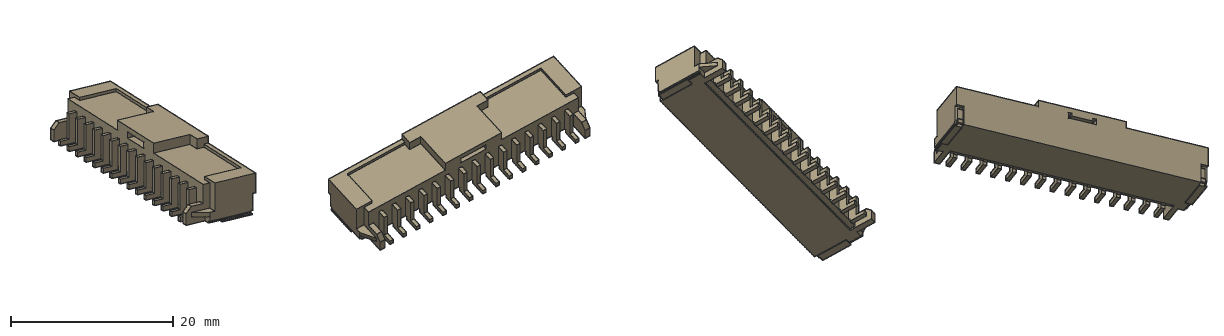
import cadquery as cq


LENGTH = 34.0
DEPTH = 9.4
HEIGHT = 6.4
HALF_LENGTH = LENGTH / 2

BASE_Z = 0.15
SHOULDER_Z = 5.47
DECK_Z = 5.05
WALL_DEPTH = 6.9
END_DEPTH = 5.95
END_STEP = 1.15
END_BLOCK_WIDTH = 2.38
REAR_RIM = 0.65

CORNER_DEPTH = 6.65
CORNER_Z = 1.7
RELIEF_WIDTH = 0.3
RELIEF_Z = 0.45
RELIEF_CHAMFER = 0.1

UNDERCUT_DEPTH = 6.12

BUMP_HALF_WIDTH = 4.25
BUMP_REAR_HALF_WIDTH = 5.9
BUMP_REAR_DEPTH = 1.65
WINDOW_HALF_WIDTH = 1.9
WINDOW_Z = 4.85
WINDOW_TOP_Z = 5.68
LATCH_HALF_WIDTH = 1.43
LATCH_Z = 5.27
LATCH_LENGTH = 1.02
LATCH_ROOT_LENGTH = 0.6

TAB_THICKNESS = 0.75
TAB_TOP_Z = 2.5
TAB_CHAMFER_Y = 0.75
TAB_CHAMFER_Z = 0.8
GUSSET_START_DEPTH = 6.65
GUSSET_END_DEPTH = 8.65
GUSSET_Z = 1.1
TAB_INNER_X = HALF_LENGTH - END_STEP - TAB_THICKNESS

PIN_COUNT = 15
PIN_SPAN = 28.0
PIN_WIDTH = 0.5
PIN_TOP_Z = 4.05
PIN_BLADE_DEPTH = 8.02
PIN_FOOT_HEIGHT = 0.65
PIN_FOOT_START = 7.07
PIN_FOOT_END = 9.25

NAIL_WIDTH = 1.0
NAIL_FOOT_HEIGHT = 0.17
NAIL_FOOT_START = 0.5
NAIL_FOOT_END = 4.85
NAIL_TOP_Z = 2.5
NAIL_OUTER_DEPTH = 0.3
NAIL_BEND_DEPTH = 0.2
NAIL_BEND_Z = 0.4
NAIL_BEND_TOP_Z = 1.0
NOTCH_DEPTH = 0.4
NOTCH_Z = 2.82
NOTCH_CHAMFER_DEPTH = 0.78
NOTCH_CHAMFER_Z = 0.8


def box(x_min, x_max, depth_min, depth_max, z_min, z_max):
    """Axis-aligned block, with its Y extent given as two depths."""
    size = (x_max - x_min, depth_max - depth_min, z_max - z_min)
    return cq.Workplane("XY").box(*size, centered=False).translate((x_min, -depth_max, z_min))


def centered_box(half_width, depth_min, depth_max, z_min, z_max):
    return box(-half_width, half_width, depth_min, depth_max, z_min, z_max)


def side_profile(points, x_min, x_max):
    """Extrude a (depth, z) outline along X."""
    outline = [(-depth, z) for depth, z in points]
    return cq.Workplane("YZ").workplane(offset=x_min).polyline(outline).close().extrude(x_max - x_min)


def both_ends(shape):
    """A feature of the +X end together with its mirror image at the -X end."""
    return shape.union(shape.mirror("YZ"))


def make_housing():
    ends = centered_box(HALF_LENGTH, 0, END_DEPTH, BASE_Z, SHOULDER_Z)
    recess = centered_box(HALF_LENGTH - END_BLOCK_WIDTH, REAR_RIM, END_DEPTH, DECK_Z, SHOULDER_Z)
    wall = centered_box(HALF_LENGTH - END_STEP, REAR_RIM, WALL_DEPTH, BASE_Z, DECK_Z)
    corners = centered_box(HALF_LENGTH, REAR_RIM, CORNER_DEPTH, BASE_Z, CORNER_Z)
    undercut = centered_box(TAB_INNER_X, UNDERCUT_DEPTH, WALL_DEPTH, BASE_Z, RELIEF_Z)
    return ends.cut(recess).union(wall).union(corners).cut(undercut)


def make_bump():
    middle = centered_box(BUMP_HALF_WIDTH, 0, WALL_DEPTH, WINDOW_Z, HEIGHT)
    rear = centered_box(BUMP_REAR_HALF_WIDTH, 0, BUMP_REAR_DEPTH, DECK_Z, HEIGHT)
    return middle.union(rear)


def make_window():
    """Latch window running through the raised middle, less the latch ramp on its ceiling."""
    window = centered_box(WINDOW_HALF_WIDTH, 0, WALL_DEPTH, WINDOW_Z, WINDOW_TOP_Z)
    ramp = [
        (0, WINDOW_TOP_Z),
        (LATCH_ROOT_LENGTH, WINDOW_TOP_Z),
        (LATCH_LENGTH, LATCH_Z),
        (0, LATCH_Z),
    ]
    return window.cut(side_profile(ramp, -LATCH_HALF_WIDTH, LATCH_HALF_WIDTH))


def make_relief():
    """Chamfered groove along the lower outer edge of one end."""
    inner_x = HALF_LENGTH - RELIEF_WIDTH
    outline = [
        (HALF_LENGTH, 0),
        (inner_x, 0),
        (inner_x, RELIEF_Z - RELIEF_CHAMFER),
        (inner_x + RELIEF_CHAMFER, RELIEF_Z),
        (HALF_LENGTH, RELIEF_Z),
    ]
    return cq.Workplane("XZ").polyline(outline).close().extrude(CORNER_DEPTH)


def make_nail_notch():
    outline = [
        (0, 0),
        (NOTCH_CHAMFER_DEPTH, 0),
        (NOTCH_CHAMFER_DEPTH, RELIEF_Z),
        (NOTCH_DEPTH, NOTCH_CHAMFER_Z),
        (NOTCH_DEPTH, NOTCH_Z),
        (0, NOTCH_Z),
    ]
    return side_profile(outline, HALF_LENGTH - NAIL_WIDTH, HALF_LENGTH)


def make_nail():
    """Strip with a thin upright in the notch, a thicker bend below it and a foot on the board."""
    upright_outline = [
        (NAIL_FOOT_START, 0),
        (NOTCH_CHAMFER_DEPTH, 0),
        (NOTCH_CHAMFER_DEPTH, RELIEF_Z),
        (NOTCH_DEPTH, NOTCH_CHAMFER_Z),
        (NOTCH_DEPTH, NAIL_TOP_Z),
        (NAIL_OUTER_DEPTH, NAIL_TOP_Z),
        (NAIL_OUTER_DEPTH, NAIL_BEND_TOP_Z),
        (NAIL_BEND_DEPTH, NAIL_BEND_TOP_Z),
        (NAIL_BEND_DEPTH, NAIL_BEND_Z),
        (NAIL_FOOT_START, NAIL_BEND_Z),
    ]
    inner_x = HALF_LENGTH - NAIL_WIDTH
    upright = side_profile(upright_outline, inner_x, HALF_LENGTH - RELIEF_WIDTH)
    foot = box(inner_x, HALF_LENGTH, NAIL_FOOT_START, NAIL_FOOT_END, 0, NAIL_FOOT_HEIGHT)
    return upright.union(foot)


def make_tab():
    outline = [
        (END_DEPTH, BASE_Z),
        (DEPTH, BASE_Z),
        (DEPTH, TAB_TOP_Z - TAB_CHAMFER_Z),
        (DEPTH - TAB_CHAMFER_Y, TAB_TOP_Z),
        (END_DEPTH, TAB_TOP_Z),
    ]
    return side_profile(outline, TAB_INNER_X, TAB_INNER_X + TAB_THICKNESS)


def make_gusset():
    """Horizontal brace from the corner block to the outer face of the tab."""
    outline = [
        (TAB_INNER_X, -END_DEPTH),
        (HALF_LENGTH, -END_DEPTH),
        (HALF_LENGTH, -GUSSET_START_DEPTH),
        (HALF_LENGTH - END_STEP, -GUSSET_END_DEPTH),
        (TAB_INNER_X, -GUSSET_END_DEPTH),
    ]
    underside = cq.Workplane("XY").workplane(offset=GUSSET_Z)
    return underside.polyline(outline).close().extrude(CORNER_Z - GUSSET_Z)


def make_pin(center_x):
    outline = [
        (END_DEPTH, RELIEF_Z),
        (PIN_FOOT_START, RELIEF_Z),
        (PIN_FOOT_START, 0),
        (PIN_FOOT_END, 0),
        (PIN_FOOT_END, PIN_FOOT_HEIGHT),
        (PIN_BLADE_DEPTH, PIN_FOOT_HEIGHT),
        (PIN_BLADE_DEPTH, PIN_TOP_Z),
        (END_DEPTH, PIN_TOP_Z),
    ]
    return side_profile(outline, center_x - PIN_WIDTH / 2, center_x + PIN_WIDTH / 2)


result = make_housing().union(make_bump()).cut(make_window())
result = result.cut(both_ends(make_relief())).cut(both_ends(make_nail_notch()))
for end_feature in (make_nail(), make_tab(), make_gusset()):
    result = result.union(both_ends(end_feature))

pin_pitch = PIN_SPAN / (PIN_COUNT - 1)
for index in range(PIN_COUNT):
    result = result.union(make_pin(index * pin_pitch - PIN_SPAN / 2))